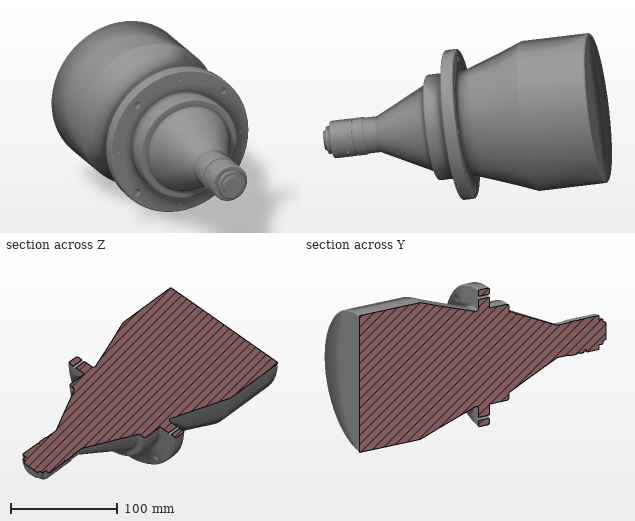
import cadquery as cq
import math

barrel_radius = 71.0
flange_radius = 71.0
hub_radius = 50.0
groove_radius = 49.2
rear_cone_radius = 42.4
neck_radius = 17.0
ring_radius = 17.8
ring_groove_radius = 16.7
shallow_groove_radius = 17.5
collar_radius = 13.0
spigot_radius = 10.0
tip_radius = 9.2

barrel_end = 64.5
front_cone_end = 122.0
rim_end = 123.2
flange_front = 126.0
flange_back = 138.0
hub_end = 158.7
rear_cone_end = 208.2
neck_start = 209.7
ring_start = 221.8
ring_groove_start = 231.7
ring_groove_end = 233.3
shallow_groove_start = 235.5
shallow_groove_end = 236.7
ring_end = 254.5
collar_end = 258.5
spigot_end = 260.2
overall_length = 261.5

barrel_chamfer = 1.0
flange_round = 1.5
hub_round = 2.4
ring_start_chamfer = 0.8
ring_end_round = 1.5
cove_radius = 2.5

flange_hole_circle_radius = 62.5
bolt_hole_diameter = 7.0
pin_hole_diameter = 3.0
flange_hole_count = 4
screw_hole_diameter = 2.4
screw_hole_depth = 2.5
screw_hole_x = 239.3
screw_hole_count = 3
first_screw_angle = 30


def turned_section(start, end, radius):
    """Solid cylinder between two stations on the X axis."""
    return cq.Workplane("YZ", origin=(start, 0, 0)).circle(radius).extrude(end - start)


def turned_cone(start, end, start_radius, end_radius):
    """Solid truncated cone between two stations on the X axis."""
    profile = [(start, 0), (start, start_radius), (end, end_radius), (end, 0)]
    return cq.Workplane("XY").polyline(profile).close().revolve(360, (0, 0, 0), (1, 0, 0))


def flange_cove():
    """Concave quarter-round ring blending the groove into the front of the flange."""
    return (
        cq.Workplane("XY")
        .moveTo(flange_front - cove_radius, groove_radius)
        .radiusArc((flange_front, groove_radius + cove_radius), -cove_radius)
        .lineTo(flange_front, groove_radius - cove_radius)
        .lineTo(flange_front - cove_radius, groove_radius - cove_radius)
        .close()
        .revolve(360, (0, 0, 0), (1, 0, 0))
    )


def front_body():
    barrel = turned_section(0, barrel_end, barrel_radius).faces("<X").chamfer(barrel_chamfer)
    cone = turned_cone(barrel_end, front_cone_end, barrel_radius, hub_radius)
    rim = turned_section(front_cone_end, rim_end, hub_radius)
    groove = turned_section(rim_end, flange_front, groove_radius)
    return barrel.union(cone).union(rim).union(groove).union(flange_cove())


def mounting_flange():
    flange = turned_section(flange_front, flange_back, flange_radius).edges().fillet(flange_round)
    hub = turned_section(flange_back, hub_end, hub_radius).faces(">X").edges().fillet(hub_round)
    return flange.union(hub)


def rear_body():
    cone = turned_cone(hub_end, rear_cone_end, rear_cone_radius, ring_radius)
    blend = turned_cone(rear_cone_end, neck_start, ring_radius, neck_radius)
    neck = turned_section(neck_start, ring_start, neck_radius)
    return cone.union(blend).union(neck)


def end_fitting():
    front_ring = turned_section(ring_start, ring_groove_start, ring_radius)
    front_ring = front_ring.faces("<X").chamfer(ring_start_chamfer)
    ring_groove = turned_section(ring_groove_start, ring_groove_end, ring_groove_radius)
    middle_ring = turned_section(ring_groove_end, shallow_groove_start, ring_radius)
    shallow_groove = turned_section(shallow_groove_start, shallow_groove_end, shallow_groove_radius)
    rear_ring = turned_section(shallow_groove_end, ring_end, ring_radius)
    rear_ring = rear_ring.faces(">X").edges().fillet(ring_end_round)
    collar = turned_section(ring_end, collar_end, collar_radius)
    spigot = turned_section(collar_end, spigot_end, spigot_radius)
    tip = turned_section(spigot_end, overall_length, tip_radius)
    fitting = front_ring.union(ring_groove).union(middle_ring).union(shallow_groove)
    return fitting.union(rear_ring).union(collar).union(spigot).union(tip)


def flange_holes(diameter, start_angle):
    """Through-hole cutters equally spaced around the flange."""
    return (
        cq.Workplane("YZ", origin=(flange_front, 0, 0))
        .polarArray(flange_hole_circle_radius, start_angle, 360, flange_hole_count)
        .circle(diameter / 2)
        .extrude(flange_back - flange_front)
    )


def screw_hole(angle):
    """Radial blind-hole cutter in the rear ring, at an angle from +Y towards +Z."""
    inward = cq.Vector(0, -math.cos(math.radians(angle)), -math.sin(math.radians(angle)))
    mouth = cq.Vector(screw_hole_x, 0, 0) - inward * ring_radius
    return cq.Workplane(cq.Solid.makeCylinder(screw_hole_diameter / 2, screw_hole_depth, mouth, inward))


result = front_body().union(mounting_flange()).union(rear_body()).union(end_fitting())
result = result.cut(flange_holes(bolt_hole_diameter, 45)).cut(flange_holes(pin_hole_diameter, 0))
for index in range(screw_hole_count):
    result = result.cut(screw_hole(first_screw_angle + index * 360 / screw_hole_count))